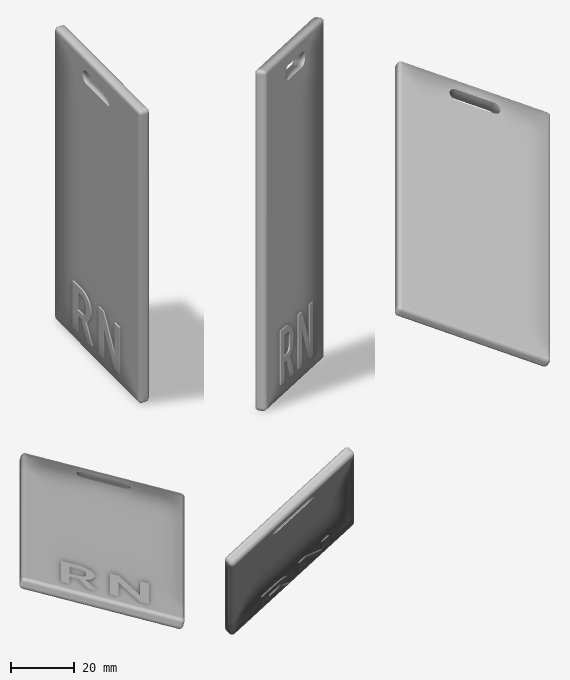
import cadquery as cq

HEIGHT = 114.3
WIDTH = 53.4
DEPTH = 4.3

RELIEF = 0.5
THICKNESS = DEPTH - RELIEF
EDGE_RADIUS = 1.3

SLOT_LENGTH = 17.8
SLOT_HEIGHT = 4.9
SLOT_DROP = 7.3

LETTER_HEIGHT = 18.1
LETTER_BASE = 4.9
STROKE = 3.0
R_LEFT = -14.2
N_LEFT = 1.8

R_STRAIGHT = 5.5
R_BOWL_SIDE = (11.2, 12.5)
R_CROTCH = (8.0, 7.0)
R_LEG_TOP = (5.7, 6.6)
R_FOOT_RIGHT = 11.9
R_FOOT_WIDTH = 3.1

COUNTER_STRAIGHT = 5.5
COUNTER_RIGHT = 8.3
COUNTER_TOP = 15.7
COUNTER_BOTTOM = 8.7
COUNTER_TANGENTS = [(1, 0), (0, -1), (-1, 0)]

N_WIDTH = 12.9
N_NOTCH = 12.6


def make_blank():
    """Slab with all its outer edges rounded and a round-ended slot near the top."""
    slab = cq.Workplane("XY").box(WIDTH, THICKNESS, HEIGHT).edges().fillet(EDGE_RADIUS)
    slot = (
        cq.Workplane("XZ")
        .center(0, HEIGHT / 2 - SLOT_DROP)
        .slot2D(SLOT_LENGTH, SLOT_HEIGHT)
        .extrude(THICKNESS / 2, both=True)
    )
    return slab.cut(slot)


def letter_plane(left):
    """Plane on the back face with its origin at the lower left corner of a letter."""
    return cq.Workplane("XZ", origin=(left, THICKNESS / 2, LETTER_BASE - HEIGHT / 2))


def make_counter(depth):
    """D-shaped block that fills the eye of the R."""
    counter_side = (COUNTER_RIGHT, (COUNTER_TOP + COUNTER_BOTTOM) / 2)
    return (
        letter_plane(R_LEFT)
        .moveTo(STROKE, COUNTER_BOTTOM)
        .lineTo(STROKE, COUNTER_TOP)
        .lineTo(COUNTER_STRAIGHT, COUNTER_TOP)
        .spline(
            [counter_side, (COUNTER_STRAIGHT, COUNTER_BOTTOM)],
            tangents=COUNTER_TANGENTS,
            includeCurrent=True,
        )
        .close()
        .extrude(depth)
    )


def make_letter_r():
    """Letter R with an open eye, from the plate's back face to its raised front."""
    outline = (
        letter_plane(R_LEFT)
        .lineTo(0, LETTER_HEIGHT)
        .lineTo(R_STRAIGHT, LETTER_HEIGHT)
        .threePointArc(R_BOWL_SIDE, R_CROTCH)
        .lineTo(R_FOOT_RIGHT, 0)
        .lineTo(R_FOOT_RIGHT - R_FOOT_WIDTH, 0)
        .lineTo(*R_LEG_TOP)
        .lineTo(STROKE, R_LEG_TOP[1])
        .lineTo(STROKE, 0)
        .close()
        .extrude(DEPTH)
    )
    return outline.cut(make_counter(DEPTH))


def make_letter_n():
    """Letter N, from the plate's back face to its raised front."""
    right_inner = N_WIDTH - STROKE
    return (
        letter_plane(N_LEFT)
        .polyline([
            (0, 0),
            (0, LETTER_HEIGHT),
            (STROKE, LETTER_HEIGHT),
            (right_inner, LETTER_HEIGHT - N_NOTCH),
            (right_inner, LETTER_HEIGHT),
            (N_WIDTH, LETTER_HEIGHT),
            (N_WIDTH, 0),
            (N_WIDTH - STROKE, 0),
            (STROKE, N_NOTCH),
            (STROKE, 0),
        ])
        .close()
        .extrude(DEPTH)
    )


letter_r = make_letter_r()
letter_n = make_letter_n()

counter = make_counter(THICKNESS)

plate = make_blank().cut(letter_r).cut(letter_n).cut(counter)

result = cq.Compound.makeCompound([
    plate.solids().val(),
    letter_r.solids().val(),
    letter_n.val(),
    counter.val(),
])